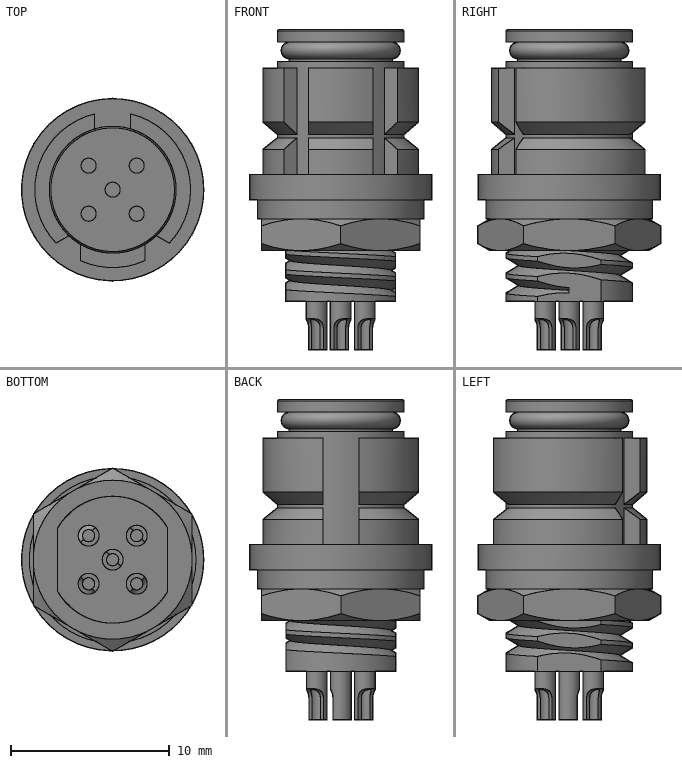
import math

import cadquery as cq

pin_tip_z = 0.0
thread_bottom_z = 3.07
nut_bottom_z = 6.26
nut_top_z = 8.26
flange_bottom_z = 9.45
flange_top_z = 11.07
key_top_z = 17.75
seal_groove_bottom_z = 18.18
seal_groove_top_z = 19.4
top_z = 20.2

body_radius = 4.0
flange_radius = 11.5 / 2
collar_radius = 5.25
seal_groove_radius = 3.27
top_chamfer = 0.1

seal_section_radius = 0.53
seal_outer_radius = 3.75

key_radius = 4.9
key_slot_width = 2.26
side_key_end_angle = 30
front_key_width = 4.08
latch_upper_edge_z = 14.36
latch_neck_top_z = 13.57
latch_neck_bottom_z = 13.37
latch_lower_edge_z = 12.65

nut_across_flats = 10.0
nut_bevel_radius = 5.0
nut_bevel_angle = 30
nut_bevel_clearance = 0.2

shank_across_flats = 6.93
thread_pitch = 1.25
thread_depth = 0.8
thread_half_angle = 31
thread_start_z = 3.75
thread_overshoot = 0.05

contact_offset = 1.52
contact_positions = [(0, 0)]
for x_side in (-1, 1):
    for y_side in (-1, 1):
        contact_positions.append((x_side * contact_offset, y_side * contact_offset))
socket_diameter = 0.95
socket_depth = 0.5
pin_radius = 1.31 / 2
cup_bore_radius = 0.38
cup_wall_offset = 0.06
cup_height = 1.98
centre_cup_direction = -45
pin_root_overlap = 0.2


def disc(radius, lower_z, upper_z):
    return cq.Workplane("XY").workplane(offset=lower_z).circle(radius).extrude(upper_z - lower_z)


def revolved(profile):
    """Turn a closed (radius, z) profile around the Z axis."""
    return cq.Workplane("XZ").polyline(profile).close().revolve(360, (0, 0), (0, 1))


def make_barrel():
    barrel = disc(body_radius, nut_top_z, top_z).faces(">Z").chamfer(top_chamfer)
    barrel = barrel.union(disc(collar_radius, nut_top_z, flange_bottom_z))
    barrel = barrel.union(disc(flange_radius, flange_bottom_z, flange_top_z))
    seal_groove = disc(flange_radius, seal_groove_bottom_z, seal_groove_top_z).cut(
        disc(seal_groove_radius, seal_groove_bottom_z, seal_groove_top_z))
    ring_radius = seal_outer_radius - seal_section_radius
    seal = (
        cq.Workplane("XZ")
        .center(ring_radius, seal_groove_top_z - seal_section_radius)
        .circle(seal_section_radius)
        .revolve(360, (-ring_radius, 0), (-ring_radius, 1))
    )
    return barrel.cut(seal_groove).union(seal)


def make_keys():
    key_ring = revolved([
        (0, flange_top_z),
        (key_radius, flange_top_z),
        (key_radius, latch_lower_edge_z),
        (body_radius, latch_neck_bottom_z),
        (body_radius, latch_neck_top_z),
        (key_radius, latch_upper_edge_z),
        (key_radius, key_top_z),
        (0, key_top_z),
    ])
    key_height = key_top_z - flange_top_z
    reach = 2 * key_radius
    plane = cq.Workplane("XY").workplane(offset=flange_top_z)
    back_slot = plane.center(0, reach / 2).rect(key_slot_width, reach).extrude(key_height)

    apex_y = -key_slot_width / 2 / math.cos(math.radians(side_key_end_angle))
    wedge_drop = reach * math.tan(math.radians(side_key_end_angle))
    front_gap = (
        plane.polyline([(0, apex_y), (-reach, apex_y - wedge_drop), (reach, apex_y - wedge_drop)])
        .close().extrude(key_height)
    )
    front_key = key_ring.intersect(
        plane.center(0, -reach / 2).rect(front_key_width, reach).extrude(key_height))
    return key_ring.cut(back_slot).cut(front_gap).union(front_key)


def make_nut():
    corner_diameter = nut_across_flats / math.cos(math.pi / 6)
    hexagon = (
        cq.Workplane("XY").workplane(offset=nut_bottom_z)
        .transformed(rotate=(0, 0, 90))
        .polygon(6, corner_diameter).extrude(nut_top_z - nut_bottom_z)
    )
    outer_radius = corner_diameter / 2 + nut_bevel_clearance
    bevel_drop = (outer_radius - nut_bevel_radius) * math.tan(math.radians(nut_bevel_angle))
    bevel_envelope = revolved([
        (0, nut_bottom_z),
        (nut_bevel_radius, nut_bottom_z),
        (outer_radius, nut_bottom_z + bevel_drop),
        (outer_radius, nut_top_z - bevel_drop),
        (nut_bevel_radius, nut_top_z),
        (0, nut_top_z),
    ])
    return hexagon.intersect(bevel_envelope)


def make_shank():
    shank = disc(body_radius, thread_bottom_z, nut_top_z)
    root_radius = body_radius - thread_depth
    mouth_radius = body_radius + thread_overshoot
    half_mouth = (thread_depth + thread_overshoot) * math.tan(math.radians(thread_half_angle))
    helix_height = nut_bottom_z + thread_pitch - thread_start_z
    helix = cq.Wire.makeHelix(thread_pitch, helix_height, body_radius, lefthand=True)
    groove = (
        cq.Workplane("XZ")
        .polyline([(root_radius, 0), (mouth_radius, half_mouth), (mouth_radius, -half_mouth)])
        .close()
        .sweep(cq.Workplane(obj=helix), isFrenet=True)
        .translate((0, 0, thread_start_z))
    )
    flats = cq.Workplane("XY").rect(shank_across_flats, 2 * body_radius).extrude(nut_top_z)
    return shank.cut(groove).intersect(flats)


def make_pin(x, y):
    """Pin with a solder cup, built opening towards -Y and then turned to face away from the axis."""
    pin = disc(pin_radius, pin_tip_z, thread_bottom_z + pin_root_overlap)
    bore = disc(cup_bore_radius, pin_tip_z, cup_height)
    runout_radius = pin_radius - cup_wall_offset
    opening = (
        cq.Workplane("YZ")
        .moveTo(-cup_wall_offset, pin_tip_z)
        .lineTo(-cup_wall_offset, cup_height - runout_radius)
        .radiusArc((-pin_radius, cup_height), -runout_radius)
        .lineTo(-pin_radius, pin_tip_z)
        .close().extrude(pin_radius, both=True)
    )
    if x == 0 and y == 0:
        cup_direction = centre_cup_direction
    else:
        cup_direction = math.degrees(math.atan2(y, x))
    turn = cup_direction + 90
    return pin.cut(bore).cut(opening).rotate((0, 0, 0), (0, 0, 1), turn).translate((x, y, 0))


def make_sockets():
    return (
        cq.Workplane("XY").workplane(offset=top_z - socket_depth)
        .pushPoints(contact_positions).circle(socket_diameter / 2).extrude(socket_depth)
    )


result = make_barrel().union(make_keys()).union(make_shank()).union(make_nut())
result = result.cut(make_sockets())
for pin_x, pin_y in contact_positions:
    result = result.union(make_pin(pin_x, pin_y))